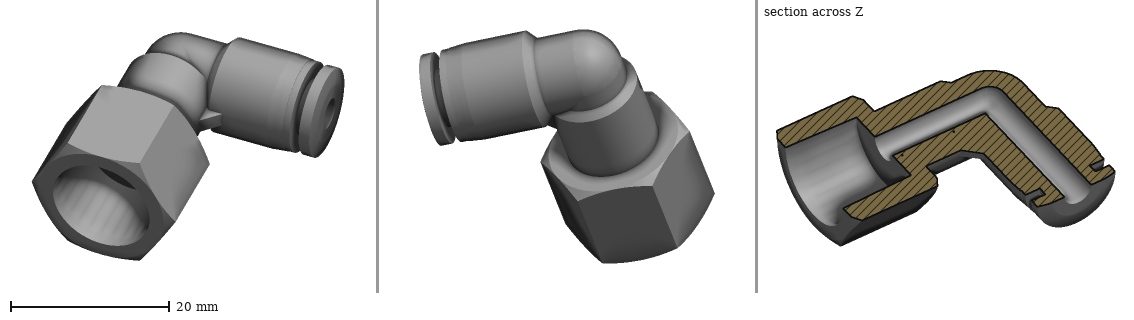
import cadquery as cq
import math


hex_flats = 17.0
hex_corner_radius = hex_flats / math.sqrt(3)
hex_length = 13.0
chamfer_angle = math.radians(30)
chamfer_drop = (hex_corner_radius - hex_flats / 2) * math.tan(chamfer_angle)

elbow_radius = 5.0
body_radius = 6.22
shoulder_start = 5.1
shoulder_end = shoulder_start + body_radius - elbow_radius
taper_start = 14.28
taper_end = 16.3
taper_radius = 6.03
lip_radius = 5.95
lip_end = 17.25
neck_radius = 3.8
flange_start = 18.47
flange_radius = 5.9
flange_rim_end = 19.9
face_radius = 3.8
overall_x = 30.1
port_end = overall_x - hex_corner_radius
crown_bulge = 0.05

overall_y = 32.75
nut_end = overall_y - body_radius
nut_start = nut_end - hex_length
stem_radius = 6.0
stem_cone_start = 2.52
stem_cone_end = stem_cone_start + stem_radius - elbow_radius

passage_radius = 2.0
socket_mouth_radius = 6.58
socket_floor_radius = 6.25
thread_taper = 1 / 16
socket_depth = 2 * (socket_mouth_radius - socket_floor_radius) / thread_taper

gusset_thickness = 1.95
gusset_corner = 8.1


def nut():
    """Hexagon with both ends chamfered by a cone."""
    prism = (
        cq.Workplane("XZ", origin=(0, -nut_start, 0))
        .polygon(6, 2 * hex_corner_radius)
        .extrude(hex_length)
    )
    turned_envelope = (
        cq.Workplane("XY")
        .moveTo(0, -nut_start)
        .lineTo(hex_flats / 2, -nut_start)
        .lineTo(hex_corner_radius, -nut_start - chamfer_drop)
        .lineTo(hex_corner_radius, -nut_end + chamfer_drop)
        .lineTo(hex_flats / 2, -nut_end)
        .lineTo(0, -nut_end)
        .close()
        .revolve(360, (0, 0, 0), (0, 1, 0))
    )
    return prism.intersect(turned_envelope)


def stem():
    """Stepped round stem from the elbow down to the nut."""
    return (
        cq.Workplane("XY")
        .lineTo(elbow_radius, 0)
        .lineTo(elbow_radius, -stem_cone_start)
        .lineTo(stem_radius, -stem_cone_end)
        .lineTo(stem_radius, -nut_start)
        .lineTo(0, -nut_start)
        .close()
        .revolve(360, (0, 0, 0), (0, 1, 0))
    )


def tube_port():
    """Round port body with a tapered lip, neck and crowned release flange."""
    crown_middle = (
        (flange_rim_end + port_end) / 2 + crown_bulge,
        (flange_radius + face_radius) / 2,
    )
    return (
        cq.Workplane("XY")
        .lineTo(0, elbow_radius)
        .lineTo(shoulder_start, elbow_radius)
        .lineTo(shoulder_end, body_radius)
        .lineTo(taper_start, body_radius)
        .lineTo(taper_end, taper_radius)
        .lineTo(taper_end, lip_radius)
        .lineTo(lip_end, lip_radius)
        .lineTo(lip_end, neck_radius)
        .lineTo(flange_start, neck_radius)
        .lineTo(flange_start, flange_radius)
        .lineTo(flange_rim_end, flange_radius)
        .threePointArc(crown_middle, (port_end, face_radius))
        .lineTo(port_end, 0)
        .close()
        .revolve(360, (0, 0, 0), (1, 0, 0))
    )


def gusset():
    """Flat triangular web bracing the inside corner of the elbow."""
    leg = gusset_corner + body_radius
    return (
        cq.Workplane("XY")
        .polyline([(0, 0), (leg, 0), (0, -leg)])
        .close()
        .extrude(gusset_thickness / 2, both=True)
    )


def passage():
    """Elbow passage with a spherical corner, opening into the socket."""
    corner = cq.Workplane("XY").sphere(passage_radius)
    port_bore = cq.Workplane("YZ").circle(passage_radius).extrude(port_end)
    stem_bore = cq.Workplane("XZ").circle(passage_radius).extrude(nut_end)
    return corner.union(port_bore).union(stem_bore)


def socket():
    """Tapered thread socket bored into the nut."""
    return (
        cq.Workplane("XY")
        .moveTo(0, -nut_end)
        .lineTo(socket_mouth_radius, -nut_end)
        .lineTo(socket_floor_radius, -nut_end + socket_depth)
        .lineTo(0, -nut_end + socket_depth)
        .close()
        .revolve(360, (0, 0, 0), (0, 1, 0))
    )


elbow_corner = cq.Workplane("XY").sphere(elbow_radius)
outside = elbow_corner.union(stem()).union(tube_port()).union(gusset()).union(nut())
result = outside.cut(passage()).cut(socket())